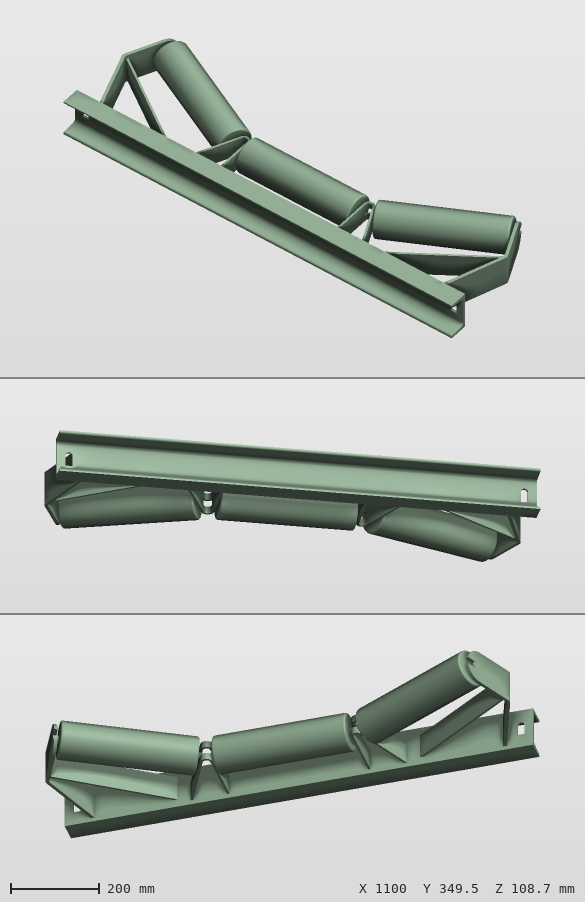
import cadquery as cq
import math


CHANNEL_LENGTH = 1100.0
CHANNEL_HEIGHT = 100.0
CHANNEL_DEPTH = 50.0
WEB_THICKNESS = 6.0
FLANGE_THICKNESS = 8.5
FLANGE_SLOPE = 0.08
ROOT_RADIUS = 8.5
TOE_RADIUS = 4.5
MOUNT_SLOT_WIDTH = 16.0
MOUNT_SLOT_BOTTOM = 34.0
MOUNT_SLOT_HEIGHT = 33.0
MOUNT_SLOT_INSET = 29.0

ROLLER_LENGTH = 315.0
ROLLER_RADIUS = 44.5
ROLLER_EDGE_RADIUS = 4.0
SHAFT_RADIUS = 10.0
SHAFT_FLATS = 16.0
TROUGH_ANGLE = 25.0
SIDE_ROLLER_RISE = 13.0
MIDDLE_ROLLER_Y = 118.0
INNER_END_Z = 35.8
SIDE_ROLLER_X = -343.0
SIDE_ROLLER_Y = 194.0

BRACKET_GAP = 5.0
OUTER_THICKNESS = 8.0
OUTER_HEIGHT = 80.0
OUTER_FOOT_X = -488.0
OUTER_CORNER_Y = 163.0
OUTER_TIP_LENGTH = 143.0
OUTER_BEND_RADIUS = 13.0
INNER_THICKNESS = 5.0
INNER_HEIGHT = 50.0
INNER_BEND_RADIUS = 14.0
BRACE_THICKNESS = 5.0
BRACE_HEIGHT = 60.0
BRACE_FOOT_X = -289.0
BRACE_ANGLE = 34.2

MID_Z = CHANNEL_HEIGHT / 2
SLANT = math.radians(TROUGH_ANGLE)
OUTWARD = cq.Vector(-math.cos(SLANT), math.sin(SLANT), 0)
ALONG_LEG = cq.Vector(math.sin(SLANT), math.cos(SLANT), 0)
SIDE_CENTRE = cq.Vector(SIDE_ROLLER_X, SIDE_ROLLER_Y, 0)
FACE_DISTANCE = ROLLER_LENGTH / 2 + BRACKET_GAP


def flange_thickness_at(depth):
    return FLANGE_THICKNESS + FLANGE_SLOPE * (CHANNEL_DEPTH / 2 - depth)


def make_channel():
    toe = flange_thickness_at(CHANNEL_DEPTH)
    root = flange_thickness_at(WEB_THICKNESS)
    section = [
        (0, 0),
        (-CHANNEL_DEPTH, 0),
        (-CHANNEL_DEPTH, toe),
        (-WEB_THICKNESS, root),
        (-WEB_THICKNESS, CHANNEL_HEIGHT - root),
        (-CHANNEL_DEPTH, CHANNEL_HEIGHT - toe),
        (-CHANNEL_DEPTH, CHANNEL_HEIGHT),
        (0, CHANNEL_HEIGHT),
    ]
    bar = cq.Workplane("YZ").polyline(section).close().extrude(CHANNEL_LENGTH / 2, both=True)
    for height in (root, CHANNEL_HEIGHT - root):
        corner = cq.NearestToPointSelector((0, -WEB_THICKNESS, height))
        bar = bar.edges("|X").edges(corner).fillet(ROOT_RADIUS)
    for height in (toe, CHANNEL_HEIGHT - toe):
        corner = cq.NearestToPointSelector((0, -CHANNEL_DEPTH, height))
        bar = bar.edges("|X").edges(corner).fillet(TOE_RADIUS)
    for side in (-1, 1):
        bar = bar.cut(mount_slot(side * (CHANNEL_LENGTH / 2 - MOUNT_SLOT_INSET)))
    return bar


def mount_slot(x):
    """Upright slot through the web with a flat bottom and a round top."""
    half = MOUNT_SLOT_WIDTH / 2
    top = MOUNT_SLOT_BOTTOM + MOUNT_SLOT_HEIGHT
    return (
        cq.Workplane("XZ")
        .moveTo(x - half, MOUNT_SLOT_BOTTOM)
        .lineTo(x + half, MOUNT_SLOT_BOTTOM)
        .lineTo(x + half, top - half)
        .threePointArc((x, top), (x - half, top - half))
        .close()
        .extrude(CHANNEL_DEPTH)
    )


def middle_frame():
    return cq.Plane(origin=(0, MIDDLE_ROLLER_Y, INNER_END_Z), xDir=(0, -1, 0), normal=(-1, 0, 0))


def side_frame():
    """Frame of the left side roller, whose normal points to its outer end."""
    tilt = math.asin(SIDE_ROLLER_RISE / ROLLER_LENGTH)
    axis = OUTWARD * math.cos(tilt) + cq.Vector(0, 0, math.sin(tilt))
    centre = SIDE_CENTRE + cq.Vector(0, 0, INNER_END_Z + SIDE_ROLLER_RISE / 2)
    return cq.Plane(origin=centre, xDir=ALONG_LEG * -1, normal=axis)


def make_roller(frame, start_thickness, end_thickness):
    """Roller with a flatted shaft that reaches through the brackets at both ends."""
    shell = (
        cq.Workplane(frame)
        .workplane(offset=-ROLLER_LENGTH / 2)
        .circle(ROLLER_RADIUS)
        .extrude(ROLLER_LENGTH)
        .edges("%CIRCLE")
        .fillet(ROLLER_EDGE_RADIUS)
    )
    shaft_length = start_thickness + 2 * FACE_DISTANCE + end_thickness
    start = cq.Workplane(frame).workplane(offset=-FACE_DISTANCE - start_thickness)
    flats = start.rect(2 * SHAFT_RADIUS, SHAFT_FLATS).extrude(shaft_length)
    shaft = start.circle(SHAFT_RADIUS).extrude(shaft_length).intersect(flats)
    return shell.union(shaft)


def unit(vector):
    return vector.multiply(1 / vector.Length)


def bent_strip(foot, corner, end, thickness, bend_radius, bottom, height):
    """Upright strip along foot-corner-end, its outer face on those points and its body inside the bend.

    The feet are cut at Y = 0; an end above Y = 0 is cut square.
    """
    to_foot = unit(foot - corner)
    to_end = unit(end - corner)
    half_angle = to_foot.getAngle(to_end) / 2
    inner_corner = corner + unit(to_foot + to_end) * (thickness / math.sin(half_angle))
    foot_inner = inner_corner - to_foot * (inner_corner.y / to_foot.y)
    if end.y > 0:
        inward = unit(to_foot - to_end * to_foot.dot(to_end))
        end_inner = end + inward * thickness
    else:
        end_inner = inner_corner - to_end * (inner_corner.y / to_end.y)
    outline = [foot, corner, end, end_inner, inner_corner, foot_inner]
    strip = (
        cq.Workplane("XY")
        .workplane(offset=bottom)
        .polyline([(point.x, point.y) for point in outline])
        .close()
        .extrude(height)
    )
    for point, radius in ((corner, bend_radius), (inner_corner, bend_radius - thickness)):
        edge = cq.NearestToPointSelector((point.x, point.y, bottom + height / 2))
        strip = strip.edges("|Z").edges(edge).fillet(radius)
    return strip


def make_outer_bracket(side_roller):
    """Left outer bracket: a bent plate with a round tip, slotted from the tip for the shaft."""
    tip_radius = OUTER_HEIGHT / 2
    bottom = MID_Z - tip_radius
    outer_face = SIDE_CENTRE + OUTWARD * (FACE_DISTANCE + OUTER_THICKNESS)
    corner = outer_face + ALONG_LEG * ((OUTER_CORNER_Y - outer_face.y) / ALONG_LEG.y)
    tip_centre = corner + ALONG_LEG * (OUTER_TIP_LENGTH - tip_radius)
    bracket = bent_strip(
        cq.Vector(OUTER_FOOT_X, 0), corner, tip_centre,
        OUTER_THICKNESS, OUTER_BEND_RADIUS, bottom, OUTER_HEIGHT,
    )
    face = cq.Plane(
        origin=tip_centre + cq.Vector(0, 0, MID_Z), xDir=ALONG_LEG * -1, normal=OUTWARD * -1
    )
    bracket = bracket.union(cq.Workplane(face).circle(tip_radius).extrude(OUTER_THICKNESS))
    slot = (
        cq.Workplane(side_frame())
        .workplane(offset=FACE_DISTANCE - OUTER_THICKNESS / 2)
        .center(-tip_radius, 0)
        .rect(2 * tip_radius, SHAFT_FLATS)
        .extrude(2 * OUTER_THICKNESS)
    )
    return bracket.cut(slot).cut(side_roller)


def make_inner_bracket(side_roller, middle_roller):
    """Left inner bracket: a hairpin strip with one slot round its bend for two shaft ends."""
    upright_x = -FACE_DISTANCE
    slant_face = SIDE_CENTRE - OUTWARD * FACE_DISTANCE
    slant_foot = slant_face - ALONG_LEG * (slant_face.y / ALONG_LEG.y)
    apex = slant_foot + ALONG_LEG * ((upright_x - slant_foot.x) / ALONG_LEG.x)
    bracket = bent_strip(
        slant_foot, apex, cq.Vector(upright_x, 0),
        INNER_THICKNESS, INNER_BEND_RADIUS, INNER_END_Z - INNER_HEIGHT / 2, INNER_HEIGHT,
    )
    slot = cq.Workplane("XY").box(
        apex.x - slant_foot.x, apex.y - MIDDLE_ROLLER_Y, SHAFT_FLATS, centered=(False, False, True)
    )
    slot = slot.translate((slant_foot.x, MIDDLE_ROLLER_Y, INNER_END_Z))
    return bracket.cut(slot).cut(side_roller).cut(middle_roller)


def make_brace(outer_bracket):
    """Left brace: a flat plate from the channel web to the bend of the outer bracket."""
    angle = math.radians(BRACE_ANGLE)
    half_foot = BRACE_THICKNESS / 2 / math.sin(angle)
    run = BRACE_FOOT_X - OUTER_FOOT_X + OUTER_CORNER_Y * math.tan(SLANT)
    rise = run * math.tan(angle)
    outline = [
        (BRACE_FOOT_X - half_foot, 0),
        (BRACE_FOOT_X + half_foot, 0),
        (BRACE_FOOT_X + half_foot - run, rise),
        (BRACE_FOOT_X - half_foot - run, rise),
    ]
    plate = (
        cq.Workplane("XY")
        .workplane(offset=MID_Z - BRACE_HEIGHT / 2)
        .polyline(outline)
        .close()
        .extrude(BRACE_HEIGHT)
    )
    return plate.cut(outer_bracket).solids(">X")


channel = make_channel()
middle_roller = make_roller(middle_frame(), INNER_THICKNESS, INNER_THICKNESS)
side_roller = make_roller(side_frame(), INNER_THICKNESS, OUTER_THICKNESS)
outer_bracket = make_outer_bracket(side_roller)
inner_bracket = make_inner_bracket(side_roller, middle_roller)
brace = make_brace(outer_bracket)

bodies = [channel.val(), middle_roller.val()]
for left_body in (side_roller, outer_bracket, inner_bracket, brace):
    bodies.append(left_body.val())
    bodies.append(left_body.mirror("YZ").val())

result = cq.Compound.makeCompound(bodies)